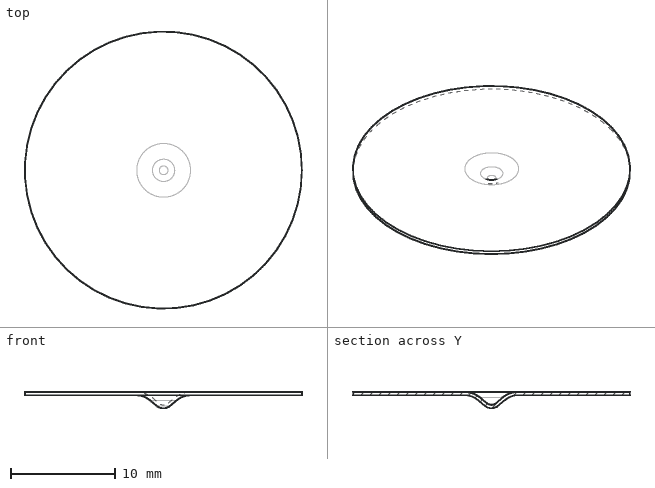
import cadquery as cq
import math

disc_diameter = 26.6
thickness = 0.35
dimple_radius = 2.58
wall_angle = 40.0
bend_radius_under = 2.0
tip_radius_under = 1.0

disc_radius = disc_diameter / 2
slope = math.radians(wall_angle)

tip_radius_top = tip_radius_under - thickness
bend_center_z = -thickness - bend_radius_under
wall_run = dimple_radius - (bend_radius_under + tip_radius_under) * math.sin(slope)
centers_rise = (bend_radius_under + tip_radius_under) * math.cos(slope) - wall_run * math.tan(slope)
tip_center_z = bend_center_z + centers_rise


def bend_point(radius, angle):
    """Point on the rim bend, at an angle from its highest point towards the axis."""
    return (dimple_radius - radius * math.sin(angle), bend_center_z + radius * math.cos(angle))


def tip_point(radius, angle):
    """Point on the rounded tip, at an angle from its lowest point outwards."""
    return (radius * math.sin(angle), tip_center_z - radius * math.cos(angle))


def sheet_half_section():
    """Half section of the dimpled disc, radius along x and height along y."""
    bend_radius_top = bend_radius_under + thickness
    return (
        cq.Workplane("XZ")
        .moveTo(disc_radius, 0)
        .lineTo(dimple_radius, 0)
        .threePointArc(bend_point(bend_radius_top, slope / 2), bend_point(bend_radius_top, slope))
        .lineTo(*tip_point(tip_radius_top, slope))
        .threePointArc(tip_point(tip_radius_top, slope / 2), tip_point(tip_radius_top, 0))
        .lineTo(*tip_point(tip_radius_under, 0))
        .threePointArc(tip_point(tip_radius_under, slope / 2), tip_point(tip_radius_under, slope))
        .lineTo(*bend_point(bend_radius_under, slope))
        .threePointArc(bend_point(bend_radius_under, slope / 2), bend_point(bend_radius_under, 0))
        .lineTo(disc_radius, -thickness)
        .close()
    )


result = sheet_half_section().revolve(360, (0, 0, 0), (0, 1, 0))